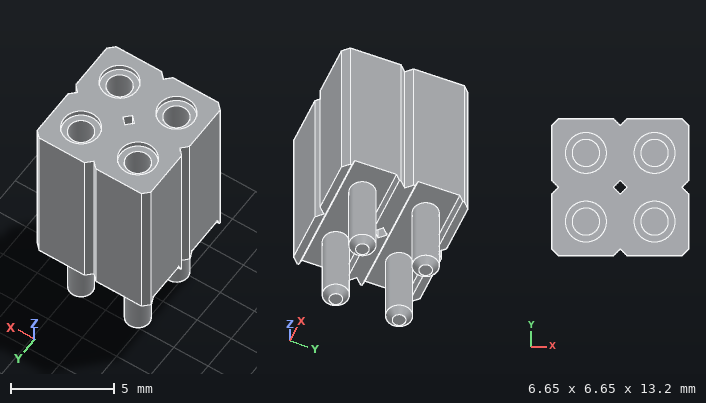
import cadquery as cq

body_width = 6.65
total_height = 13.22
body_height = 9.15
cells_per_side = 2
pitch = body_width / cells_per_side
corner_chamfer = 0.33

pin_diameter = 1.32
pin_tip_chamfer = 0.33
recess_diameter = 1.98
recess_depth = 0.33
socket_diameter = 1.32
socket_depth = 3.97

channel_mouth_width = 2.5
channel_roof_width = 2.2
channel_depth = 0.4

body_bottom = total_height - body_height
cell_offsets = [(i - (cells_per_side - 1) / 2) * pitch for i in range(cells_per_side)]
cell_centers = [(x, y) for x in cell_offsets for y in cell_offsets]


def make_cell(center):
    """One square housing cell with chamfered vertical edges."""
    x, y = center
    cell = cq.Workplane("XY").box(pitch, pitch, body_height, centered=(True, True, False))
    return cell.edges("|Z").chamfer(corner_chamfer).translate((x, y, body_bottom))


def make_channel(y):
    """Trapezoidal cutter for the underside, passing through along X."""
    half_mouth = channel_mouth_width / 2
    half_roof = channel_roof_width / 2
    roof = body_bottom + channel_depth
    return (
        cq.Workplane("YZ")
        .polyline([
            (y - half_mouth, body_bottom),
            (y + half_mouth, body_bottom),
            (y + half_roof, roof),
            (y - half_roof, roof),
        ])
        .close()
        .extrude(body_width / 2, both=True)
    )


def make_pin(center):
    """Solder pin with a tapered tip, rooted in the channel roof."""
    x, y = center
    pin_length = body_bottom + channel_depth
    pin = cq.Workplane("XY").circle(pin_diameter / 2).extrude(pin_length)
    return pin.faces("<Z").chamfer(pin_tip_chamfer).translate((x, y, 0))


def make_socket(center):
    """Stepped cutter: wide recess at the top and a blind bore below it."""
    recess = (
        cq.Workplane("XY", origin=(*center, total_height))
        .circle(recess_diameter / 2)
        .extrude(-recess_depth)
    )
    bore = (
        cq.Workplane("XY", origin=(*center, total_height))
        .circle(socket_diameter / 2)
        .extrude(-socket_depth)
    )
    return recess.union(bore)


result = cq.Workplane("XY")
for cell_center in cell_centers:
    result = result.union(make_cell(cell_center))
for row_y in cell_offsets:
    result = result.cut(make_channel(row_y))
for cell_center in cell_centers:
    result = result.union(make_pin(cell_center)).cut(make_socket(cell_center))